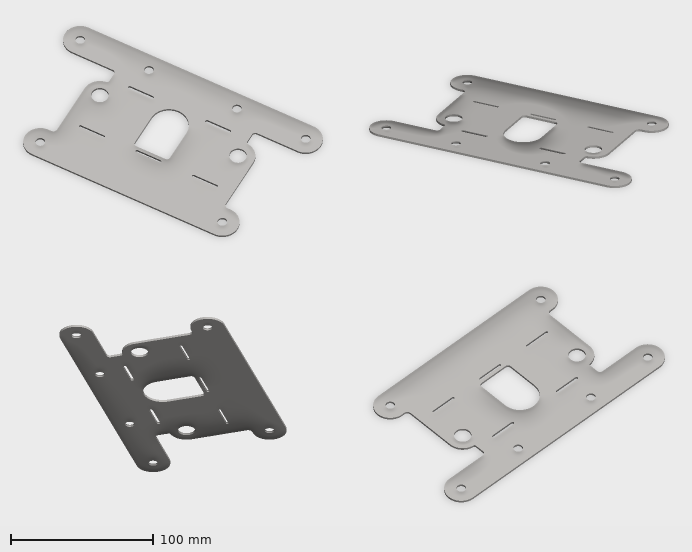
import cadquery as cq

length = 204.0
width = 115.0
thickness = 1.65
end_radius = 12.0

neck_half = 55.0
shoulder_radius = 12.2
body_half = neck_half + shoulder_radius
foot_hole_x = 72.6

neck_top_fillet = 2.5
neck_shoulder_fillet = 1.2
foot_fillet = 3.0

small_hole_diameter = 6.7
large_hole_diameter = 12.2
inner_hole_x = 35.0
large_hole_y = 10.0

upper_slot_length = 20.5
upper_slot_width = 2.5
upper_slot_x = 30.8
upper_slot_y = 25.7
lower_slot_length = 20.5
lower_slot_width = 1.8
lower_slot_pitch = 45.0
lower_slot_y = -20.2

window_width = 28.0
window_top = 24.0
window_bottom = -16.7
window_fillet = 2.5

arm_hole_x = length / 2 - end_radius
arm_y = width / 2 - end_radius
foot_y = -arm_y
arm_bottom = arm_y - end_radius
foot_top = foot_y + end_radius
shoulder_top = large_hole_y + shoulder_radius


def bar(half_span, y):
    """Full-width bar with semicircular ends."""
    return (
        cq.Workplane("XY")
        .center(0, y)
        .slot2D(2 * (half_span + end_radius), 2 * end_radius)
        .extrude(thickness)
    )


def block(half_width, bottom, top):
    """Plain rectangle of plate, centred on X = 0."""
    return (
        cq.Workplane("XY")
        .center(0, (bottom + top) / 2)
        .rect(2 * half_width, top - bottom)
        .extrude(thickness)
    )


def fillet_pair(plate, x, y, radius):
    """Fillet the mirrored upright edges at +x and -x."""
    for side in (-1, 1):
        edge = cq.selectors.NearestToPointSelector((side * x, y, thickness / 2))
        plate = plate.edges("|Z").edges(edge).fillet(radius)
    return plate


def outline():
    body = block(body_half, foot_y, shoulder_top)
    body = body.edges("|Z and >Y").fillet(shoulder_radius)
    plate = body.union(block(neck_half, foot_y, arm_y))
    plate = plate.union(bar(arm_hole_x, arm_y)).union(bar(foot_hole_x, foot_y)).clean()
    plate = fillet_pair(plate, neck_half, arm_bottom, neck_top_fillet)
    plate = fillet_pair(plate, neck_half, shoulder_top, neck_shoulder_fillet)
    return fillet_pair(plate, body_half, foot_top, foot_fillet)


def holes(points, diameter):
    return cq.Workplane("XY").pushPoints(points).circle(diameter / 2).extrude(thickness)


def window():
    half = window_width / 2
    spring_line = window_top - half
    opening = block(half, window_bottom, spring_line).edges("|Z and <Y").fillet(window_fillet)
    return opening.union(holes([(0, spring_line)], window_width))


def upper_slots():
    return (
        cq.Workplane("XY")
        .pushPoints([(-upper_slot_x, upper_slot_y), (upper_slot_x, upper_slot_y)])
        .slot2D(upper_slot_length, upper_slot_width)
        .extrude(thickness)
    )


def lower_slots():
    return (
        cq.Workplane("XY")
        .center(0, lower_slot_y)
        .rarray(lower_slot_pitch, 2, 3, 1)
        .slot2D(lower_slot_length, lower_slot_width)
        .extrude(thickness)
    )


small_hole_points = [
    (side * x, y)
    for side in (-1, 1)
    for x, y in ((arm_hole_x, arm_y), (inner_hole_x, arm_y), (foot_hole_x, foot_y))
]
large_hole_points = [(-neck_half, large_hole_y), (neck_half, large_hole_y)]

result = (
    outline()
    .cut(holes(small_hole_points, small_hole_diameter))
    .cut(holes(large_hole_points, large_hole_diameter))
    .cut(window())
    .cut(upper_slots())
    .cut(lower_slots())
)